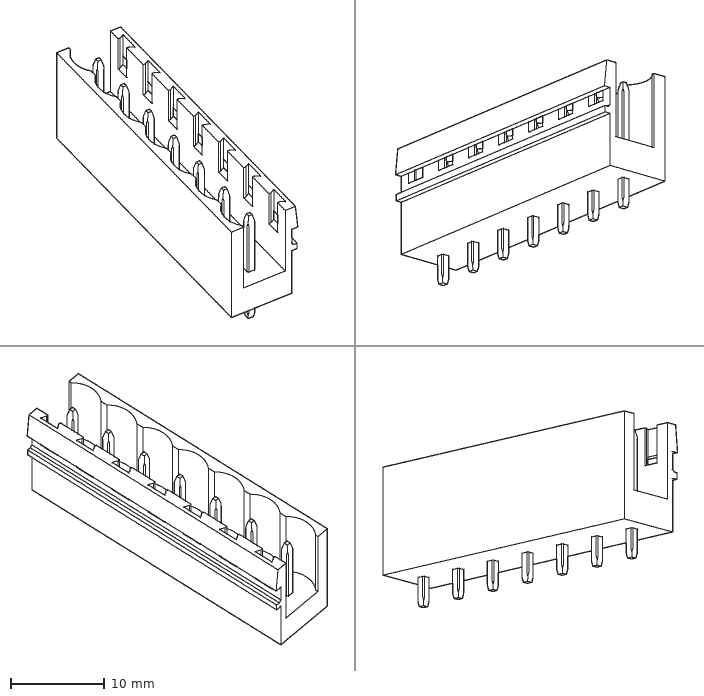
import cadquery as cq

position_count = 7
pitch = 5.08
end_margin = 2.44
length = (position_count - 1) * pitch + 2 * end_margin
position_xs = [(i - (position_count - 1) / 2) * pitch for i in range(position_count)]

body_depth = 7.65
body_height = 12.0
floor_thickness = 3.5
front_wall = 1.55
back_wall = 0.83
back_wall_inner_y = body_depth - back_wall

latch_bottom_z = 8.95
latch_top_reach = 0.47
latch_reach = 0.78
rib_bottom_z = 5.97
rib_top_z = 6.72
rib_reach = 0.69
rib_root_chamfer = 0.25

scallop_chord = 4.24
scallop_depth = 0.83

slot_floor_z = 7.8
slot_neck_width = 1.75
slot_wide_width = 2.4
slot_neck_depth = 0.26

pin_y = 3.79
pin_width = 1.0
pin_edge_chamfer = 0.15
pin_bottom_z = -3.2
pin_top_z = 11.1
top_taper_length = 1.2
top_tip_width = 0.45
bottom_taper_length = 0.95
bottom_tip_width = 0.65


def channel():
    """U-shaped channel with the latch ledge and the rib on its rear face."""
    rib_edge_y = body_depth + rib_reach
    profile = [
        (0, 0),
        (body_depth, 0),
        (body_depth, rib_bottom_z),
        (rib_edge_y, rib_bottom_z),
        (rib_edge_y, rib_top_z),
        (body_depth + rib_root_chamfer, rib_top_z),
        (body_depth, rib_top_z + rib_root_chamfer),
        (body_depth, latch_bottom_z),
        (body_depth + latch_reach, latch_bottom_z),
        (body_depth + latch_top_reach, body_height),
        (back_wall_inner_y, body_height),
        (back_wall_inner_y, floor_thickness),
        (front_wall, floor_thickness),
        (front_wall, body_height),
        (0, body_height),
    ]
    return cq.Workplane("YZ").polyline(profile).close().extrude(length / 2, both=True)


def scallop(x):
    """Shallow arc cut into the front wall, from the channel floor to the top."""
    half_chord = scallop_chord / 2
    return (
        cq.Workplane("XY")
        .workplane(offset=floor_thickness)
        .moveTo(x - half_chord, front_wall)
        .threePointArc((x, front_wall - scallop_depth), (x + half_chord, front_wall))
        .close()
        .extrude(body_height - floor_thickness)
    )


def dovetail_slot(x):
    """Slot as deep as the back wall, so it opens as a window just below the latch."""
    neck = slot_neck_width / 2
    wide = slot_wide_width / 2
    neck_y = back_wall_inner_y + slot_neck_depth
    outline = [
        (x - neck, back_wall_inner_y),
        (x - neck, neck_y),
        (x - wide, body_depth),
        (x + wide, body_depth),
        (x + neck, neck_y),
        (x + neck, back_wall_inner_y),
    ]
    return (
        cq.Workplane("XY")
        .workplane(offset=slot_floor_z)
        .polyline(outline)
        .close()
        .extrude(body_height - slot_floor_z)
    )


def tapered_profile(plane, centre):
    """Pin silhouette with both ends tapered, extruded through the pin's width."""
    half = pin_width / 2
    bottom_half = bottom_tip_width / 2
    top_half = top_tip_width / 2
    bottom_shoulder_z = pin_bottom_z + bottom_taper_length
    top_shoulder_z = pin_top_z - top_taper_length
    outline = [
        (-bottom_half, pin_bottom_z),
        (bottom_half, pin_bottom_z),
        (half, bottom_shoulder_z),
        (half, top_shoulder_z),
        (top_half, pin_top_z),
        (-top_half, pin_top_z),
        (-half, top_shoulder_z),
        (-half, bottom_shoulder_z),
    ]
    return cq.Workplane(plane, origin=centre).polyline(outline).close().extrude(half, both=True)


def pin(x):
    """Square pin with chamfered long edges and tapered ends."""
    centre = (x, pin_y, 0)
    shaft = (
        cq.Workplane("XY", origin=(x, pin_y, pin_bottom_z))
        .rect(pin_width, pin_width)
        .extrude(pin_top_z - pin_bottom_z)
        .edges("|Z")
        .chamfer(pin_edge_chamfer)
    )
    return shaft.intersect(tapered_profile("XZ", centre)).intersect(tapered_profile("YZ", centre))


pins = [pin(x) for x in position_xs]

housing = channel()
for x in position_xs:
    housing = housing.cut(scallop(x)).cut(dovetail_slot(x))
for one_pin in pins:
    housing = housing.cut(one_pin)

result = cq.Compound.makeCompound([housing.val(), *[one_pin.val() for one_pin in pins]])